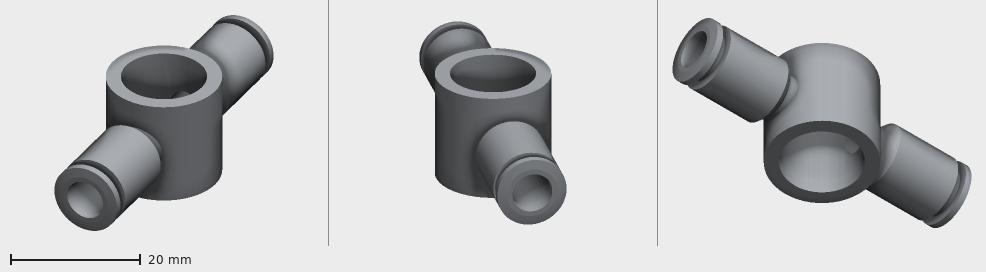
import cadquery as cq

RING_HEIGHT = 17.0
RING_DIAMETER = 18.0
RING_BORE = 13.3

FITTING_END = 25.5
COLLAR_FACE_DROP = 0.2
COLLAR_START = 24.15
GROOVE_START = 22.65
BODY_START = 11.15

BODY_DIAMETER = 11.0
NECK_DIAMETER = 8.15
END_FACE_DIAMETER = 7.95
SOCKET_DIAMETER = 6.3
PASSAGE_DIAMETER = 4.25

BODY_RADIUS = BODY_DIAMETER / 2
NECK_RADIUS = NECK_DIAMETER / 2
SHOULDER_START = BODY_START - (BODY_RADIUS - NECK_RADIUS)
NECK_ROOT = (RING_DIAMETER + RING_BORE) / 4


def fitting():
    """Turned fitting pointing along -Y, with a slightly conical end face."""
    profile = [
        (0, -NECK_ROOT),
        (NECK_RADIUS, -NECK_ROOT),
        (NECK_RADIUS, -SHOULDER_START),
        (BODY_RADIUS, -BODY_START),
        (BODY_RADIUS, -GROOVE_START),
        (NECK_RADIUS, -GROOVE_START),
        (NECK_RADIUS, -COLLAR_START),
        (BODY_RADIUS, -COLLAR_START),
        (BODY_RADIUS, -(FITTING_END - COLLAR_FACE_DROP)),
        (END_FACE_DIAMETER / 2, -FITTING_END),
        (0, -FITTING_END),
    ]
    return cq.Workplane("XY").polyline(profile).close().revolve(360, (0, 0), (0, 1))


def bore_along_y(diameter, start, length):
    """Cylindrical cutter running from start towards +Y."""
    return cq.Workplane("XZ", origin=(0, start, 0)).circle(diameter / 2).extrude(-length)


ring = cq.Workplane("XY").circle(RING_DIAMETER / 2).extrude(RING_HEIGHT / 2, both=True)
ring_bore = cq.Workplane("XY").circle(RING_BORE / 2).extrude(RING_HEIGHT / 2, both=True)

near_fitting = fitting()
far_fitting = near_fitting.mirror("XZ")
body = ring.union(near_fitting).union(far_fitting).cut(ring_bore)

body = body.cut(bore_along_y(PASSAGE_DIAMETER, -FITTING_END, 2 * FITTING_END))
for socket_start in (-FITTING_END, BODY_START):
    body = body.cut(bore_along_y(SOCKET_DIAMETER, socket_start, FITTING_END - BODY_START))

result = body